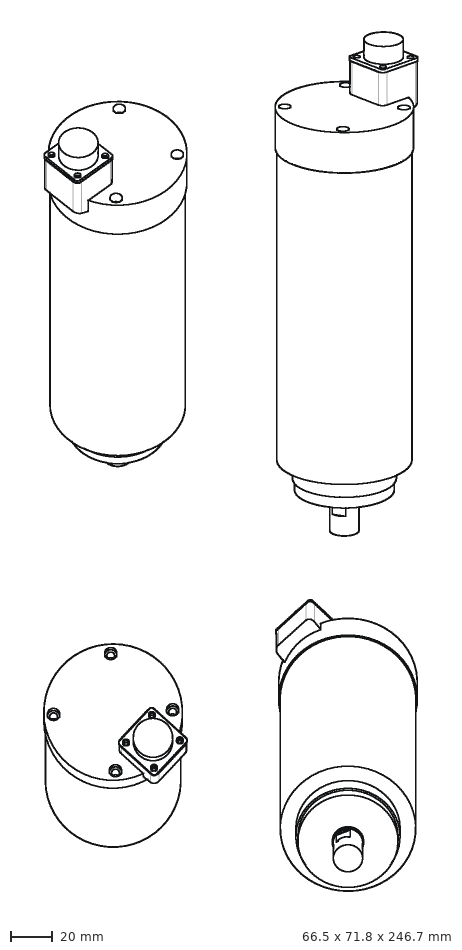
import cadquery as cq
import math

total_height = 246.7
collar_bottom = 19.7
nose_bottom = 21.2
nose_step = 27.1
tube_bottom = 36.8
cap_bottom = 197.9
cap_top = 218.8
plate_bottom = 235.8
plate_top = 237.5

tube_diameter = 65.1
cap_diameter = 66.5
nose_upper_diameter = 50.0
nose_lower_diameter = 48.0

cap_hole_offset = 20.2
cap_bore_diameter = 6.0
cap_bore_depth = 6.0
cap_hole_diameter = 3.7

shaft_diameter = 14.0
collar_diameter = 15.0
flat_distance = 12.0
flat_bottom = 10.0
flat_top = 18.5
flat_turn = 22.0

box_width = 24.5
box_depth = 25.0
box_corner_radius = 3.0
box_screw_diameter = 2.2
box_screw_depth = 5.0
box_outer_y = -38.5
box_center_y = box_outer_y + box_depth / 2
box_outer_bottom = 214.5
underside_angle = 25.0

plate_size = 24.2
plate_corner_radius = 1.5
barrel_diameter = 19.0
plate_hole_spacing = 18.3
plate_hole_diameter = 3.2


def cylinder(diameter, bottom, top):
    return cq.Workplane("XY").workplane(offset=bottom).circle(diameter / 2).extrude(top - bottom)


def make_tube():
    return cylinder(tube_diameter, tube_bottom, cap_bottom)


def make_cap():
    cap = cylinder(cap_diameter, cap_bottom, cap_top)
    spacing = 2 * cap_hole_offset
    return (
        cap.faces(">Z")
        .workplane()
        .rect(spacing, spacing, forConstruction=True)
        .vertices()
        .cboreHole(cap_hole_diameter, cap_bore_diameter, cap_bore_depth)
    )


def make_nose():
    upper = cylinder(nose_upper_diameter, nose_step, tube_bottom)
    lower = cylinder(nose_lower_diameter, nose_bottom, nose_step)
    return upper.union(lower)


def make_shaft():
    shaft = cylinder(shaft_diameter, 0, collar_bottom)
    shaft = shaft.union(cylinder(collar_diameter, collar_bottom, nose_bottom))
    for side in (-1, 1):
        cutter = (
            cq.Workplane("XY")
            .workplane(offset=flat_bottom)
            .center(0, side * (flat_distance + shaft_diameter) / 2)
            .rect(shaft_diameter, shaft_diameter)
            .extrude(flat_top - flat_bottom)
            .rotate((0, 0, 0), (0, 0, 1), flat_turn)
        )
        shaft = shaft.cut(cutter)
    return shaft


def make_connector_box():
    box_inner_y = box_outer_y + box_depth
    inner_bottom = box_outer_bottom - box_depth * math.tan(math.radians(underside_angle))
    box = (
        cq.Workplane("YZ")
        .polyline([
            (box_outer_y, plate_bottom),
            (box_outer_y, box_outer_bottom),
            (box_inner_y, inner_bottom),
            (box_inner_y, plate_bottom),
        ])
        .close()
        .extrude(box_width / 2, both=True)
        .edges("|Z")
        .fillet(box_corner_radius)
        .faces(">Z")
        .workplane(origin=(0, box_center_y, 0))
        .rect(plate_hole_spacing, plate_hole_spacing, forConstruction=True)
        .vertices()
        .hole(box_screw_diameter, box_screw_depth)
    )
    return box.cut(cylinder(cap_diameter, cap_bottom, cap_top))


def make_plug():
    plate = (
        cq.Workplane("XY")
        .workplane(offset=plate_bottom)
        .center(0, box_center_y)
        .rect(plate_size, plate_size)
        .extrude(plate_top - plate_bottom)
        .edges("|Z")
        .fillet(plate_corner_radius)
        .faces(">Z")
        .workplane(origin=(0, box_center_y, 0))
        .rect(plate_hole_spacing, plate_hole_spacing, forConstruction=True)
        .vertices()
        .hole(plate_hole_diameter)
    )
    barrel = cylinder(barrel_diameter, plate_top, total_height).translate((0, box_center_y, 0))
    return plate.union(barrel)


tube = make_tube()
cap = make_cap()
nose = make_nose()
shaft = make_shaft()
connector_box = make_connector_box()
plug = make_plug()

result = cq.Compound.makeCompound([
    tube.solids().val(),
    cap.solids().val(),
    nose.solids().val(),
    shaft.solids().val(),
    connector_box.solids().val(),
    plug.solids().val(),
])